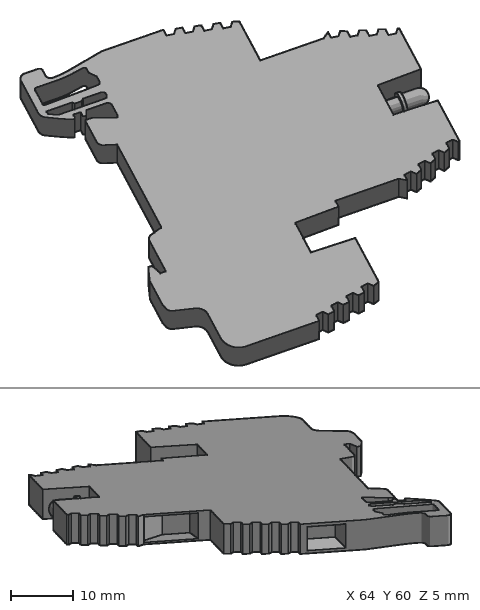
import cadquery as cq
import math

WIDTH = 64.0
HEIGHT = 60.0
THICKNESS = 5.0
MID_Z = THICKNESS / 2

LOWER_LEFT_X = 0.85
LOWER_AXIS_X = (LOWER_LEFT_X + WIDTH) / 2
LOWER_HALF = (WIDTH - LOWER_LEFT_X) / 2
LOWER_TOP_Y = 36.95
LOWER_TOP_HALF = 28.3

UPPER_AXIS_X = 27.85
UPPER_HALF = 15.25
UPPER_TOP_HALF = 12.2
UPPER_FOOT_Y = 48.0

RIB_COUNT = 4
LEDGE_LENGTH = 1.2
GAP_TIP = (0.65, 1.85)
GAP_ROOT = (-0.2, 1.2)
UPPER_LEDGE = (11.7, 57.9)
UPPER_PITCH = (1.055, -2.9)
LOWER_LEDGE = (28.05, 34.0)
LOWER_PITCH = (0.8, -2.98)

NOTCH_DEPTH = 7.7
NOTCH_TOP_HALF = 3.4
NOTCH_FLOOR_HALF = 3.2
LOWER_NOTCH_X = 47.75

BASE_Y = 9.15
PAD_Y = 6.35
HOOK_Y = 3.2
FOOT_TOP_Y = 4.05
SLOT_TOP_Y = 11.5
SLOT_FLOOR_Y = 1.35
NECK_X = 2.55
NECK_BEND_RADIUS = 12.8

UPPER_ENTRY_TOP_Y = 47.9
UPPER_ENTRY_RAMP_Y = 44.0
UPPER_ENTRY_FLOOR_Y = 39.4
UPPER_ENTRY_BOTTOM_Y = 39.0
UPPER_ENTRY_DEPTH = 3.8
UPPER_ENTRY_STEP = 0.95
UPPER_ENTRY_HEIGHT = 4.3

LOWER_ENTRY_Y = 20.7
LOWER_ENTRY_LENGTH = 6.4
LOWER_ENTRY_HEIGHT = 4.0
LOWER_ENTRY_DEPTH = 4.15
LOWER_ENTRY_DRAFT = 10.0

LENS_RADIUS = 1.55
LENS_BASE_Y = 55.4
LENS_SHOULDER_Y = 58.25
FLANGE_RADIUS = 1.9
FLANGE_BOTTOM_Y = 54.75
STEM_RADIUS = 1.3
STEM_BOTTOM_Y = HEIGHT - NOTCH_DEPTH


def rounded_profile(corners):
    """Closed wire through (x, y) corners; a third value rounds the corner to that radius."""
    path = []
    count = len(corners)
    for i, corner in enumerate(corners):
        point = cq.Vector(corner[0], corner[1])
        radius = corner[2] if len(corner) > 2 else 0
        if not radius:
            path.append((point,))
            continue
        before = corners[i - 1]
        after = corners[(i + 1) % count]
        to_before = (cq.Vector(before[0], before[1]) - point).normalized()
        to_after = (cq.Vector(after[0], after[1]) - point).normalized()
        half_angle = to_before.getAngle(to_after) / 2
        tangent_length = radius / math.tan(half_angle)
        bisector = (to_before + to_after).normalized()
        to_arc = radius / math.sin(half_angle) - radius
        start = point + to_before * tangent_length
        end = point + to_after * tangent_length
        path.append((start, point + bisector * to_arc, end))

    edges = []
    for i, stretch in enumerate(path):
        previous_end = path[i - 1][-1]
        edges.append(cq.Edge.makeLine(previous_end, stretch[0]))
        if len(stretch) == 3:
            edges.append(cq.Edge.makeThreePointArc(*stretch))
    return cq.Wire.assembleEdges(edges)


def plate(corners):
    """Full-thickness solid with the given rounded profile."""
    profile = rounded_profile(corners)
    return cq.Workplane(cq.Solid.extrudeLinear(profile, [], cq.Vector(0, 0, THICKNESS)))


def ribs(axis_x, side, first_ledge, pitch):
    """Rib corners from top to bottom; side is -1 for left of the axis and +1 for right."""
    corners = []
    for i in range(RIB_COUNT):
        ledge_half = first_ledge[0] + i * pitch[0]
        ledge_y = first_ledge[1] + i * pitch[1]
        for offset, rise in (GAP_TIP, GAP_ROOT, (0, 0), (LEDGE_LENGTH, 0)):
            corners.append((axis_x + side * (ledge_half + offset), ledge_y + rise))
    return corners


def notch(center_x, top_y):
    """Notch corners from left to right."""
    floor_y = top_y - NOTCH_DEPTH
    return [
        (center_x - NOTCH_TOP_HALF, top_y),
        (center_x - NOTCH_FLOOR_HALF, floor_y),
        (center_x + NOTCH_FLOOR_HALF, floor_y),
        (center_x + NOTCH_TOP_HALF, top_y),
    ]


def upper_side(side):
    """One shoulder and wall of the upper tier, from top to bottom."""
    return [
        (UPPER_AXIS_X + side * UPPER_TOP_HALF, HEIGHT),
        *ribs(UPPER_AXIS_X, side, UPPER_LEDGE, UPPER_PITCH),
        (UPPER_AXIS_X + side * UPPER_HALF, UPPER_FOOT_Y),
        (UPPER_AXIS_X + side * UPPER_HALF, LOWER_TOP_Y),
    ]


def lower_side(side):
    """One shoulder of the lower tier, from top to bottom, ending on its outer wall."""
    shoulder = ribs(LOWER_AXIS_X, side, LOWER_LEDGE, LOWER_PITCH)
    last_ledge_y = shoulder.pop()[1]
    return [
        (LOWER_AXIS_X + side * LOWER_TOP_HALF, LOWER_TOP_Y),
        *shoulder,
        (LOWER_AXIS_X + side * LOWER_HALF, last_ledge_y),
    ]


def rail_side():
    """Lower edge from the right wall to the left wall: hook, rail seat, spring legs, foot."""
    fixed_hook = [
        (WIDTH, BASE_Y, 3.15),
        (54.25, BASE_Y, 1.9),
        (52.7, 3.6, 1.15),
        (51.1, HOOK_Y),
        (46.0, HOOK_Y),
        (43.3, 4.1),
        (43.3, 4.75),
        (45.2, 5.4),
    ]
    rail_seat = [
        (45.2, PAD_Y),
        (37.8, PAD_Y, 1.0),
        (36.9, BASE_Y),
        (18.9, BASE_Y),
        (17.85, PAD_Y, 1.15),
        (12.4, PAD_Y),
        (12.4, 7.5),
    ]
    latch_leg = [
        (14.1, SLOT_TOP_Y, 0.3),
        (10.6, SLOT_TOP_Y, 0.8),
        (10.6, 7.3),
        (11.65, 6.9, 0.25),
        (11.65, PAD_Y, 0.2),
        (10.6, PAD_Y),
        (10.6, 5.05),
        (11.7, 5.05, 0.3),
    ]
    release_foot = [
        (10.55, 2.75, 44.8),
        (8.9, 0, 1.5),
        (0, 0, 1.1),
        (0, FOOT_TOP_Y, 0.6),
        (NECK_X, FOOT_TOP_Y, 0.9),
        (NECK_X, 6.4, NECK_BEND_RADIUS),
        (LOWER_LEFT_X, 14.3),
    ]
    return fixed_hook + rail_seat + latch_leg + release_foot


def outline():
    """Housing outline, clockwise from the upper notch."""
    return [
        *notch(UPPER_AXIS_X, HEIGHT),
        *upper_side(1),
        *notch(LOWER_NOTCH_X, LOWER_TOP_Y),
        *lower_side(1),
        *rail_side(),
        *reversed(lower_side(-1)),
        *reversed(upper_side(-1)),
    ]


def outer_leg_opening():
    """Wide opening behind the outer spring leg."""
    opening = [
        (3.3, SLOT_FLOOR_Y, 0.4),
        (7.05, SLOT_FLOOR_Y, 0.3),
        (6.8, SLOT_TOP_Y, 0.65),
        (5.1, SLOT_TOP_Y, 0.3),
        (4.0, 10.6, 0.4),
        (2.6, 10.6, 0.4),
        (3.3, 6.8, NECK_BEND_RADIUS),
    ]
    return plate(opening)


def latch_leg_opening():
    """Narrow opening behind the latch leg, with a small stop on its left wall."""
    left_x = 8.3
    right_x = 9.75
    stop_x = 8.7
    opening = [
        (left_x, SLOT_FLOOR_Y),
        (8.9, SLOT_FLOOR_Y, 0.25),
        (right_x, 2.75, 0.5),
        (right_x, SLOT_TOP_Y, 0.65),
        (left_x, SLOT_TOP_Y, 0.65),
        (left_x, 7.75),
        (stop_x, 7.35),
        (stop_x, 6.15),
        (left_x, 5.8),
    ]
    return plate(opening)


def upper_wire_entry():
    """Pocket with a short end wall, then a ramp down to its floor."""
    wall_x = UPPER_AXIS_X - UPPER_HALF
    floor_x = wall_x + UPPER_ENTRY_DEPTH
    section = [
        (wall_x, UPPER_ENTRY_TOP_Y),
        (wall_x + UPPER_ENTRY_STEP, UPPER_ENTRY_TOP_Y),
        (floor_x, UPPER_ENTRY_RAMP_Y),
        (floor_x, UPPER_ENTRY_FLOOR_Y),
        (wall_x, UPPER_ENTRY_BOTTOM_Y),
    ]
    return (
        cq.Workplane("XY", origin=(0, 0, MID_Z))
        .polyline(section)
        .close()
        .extrude(UPPER_ENTRY_HEIGHT / 2, both=True)
    )


def lower_wire_entry():
    """Rectangular pocket whose four walls draw in towards the floor."""
    return (
        cq.Workplane("YZ", origin=(LOWER_LEFT_X, LOWER_ENTRY_Y, MID_Z))
        .rect(LOWER_ENTRY_LENGTH, LOWER_ENTRY_HEIGHT)
        .extrude(LOWER_ENTRY_DEPTH, taper=LOWER_ENTRY_DRAFT)
    )


def make_housing():
    return (
        plate(outline())
        .cut(outer_leg_opening())
        .cut(latch_leg_opening())
        .cut(upper_wire_entry())
        .cut(lower_wire_entry())
    )


def lamp_cylinder(radius, bottom_y, top_y):
    """Cylinder on the lamp axis, which runs along Y through the middle of the notch."""
    base = cq.Vector(UPPER_AXIS_X, bottom_y, MID_Z)
    return cq.Workplane(cq.Solid.makeCylinder(radius, top_y - bottom_y, base, cq.Vector(0, 1, 0)))


def make_lens():
    """Domed lens with its flange."""
    dome = cq.Workplane("XY", origin=(UPPER_AXIS_X, LENS_SHOULDER_Y, MID_Z)).sphere(LENS_RADIUS)
    return (
        lamp_cylinder(FLANGE_RADIUS, FLANGE_BOTTOM_Y, LENS_BASE_Y)
        .union(lamp_cylinder(LENS_RADIUS, LENS_BASE_Y, LENS_SHOULDER_Y))
        .union(dome)
    )


def make_stem():
    """Stem between the notch floor and the lens flange."""
    return lamp_cylinder(STEM_RADIUS, STEM_BOTTOM_Y, FLANGE_BOTTOM_Y)


housing = make_housing()
lens = make_lens()
stem = make_stem()

result = cq.Compound.makeCompound([housing.val(), lens.val(), stem.val()])